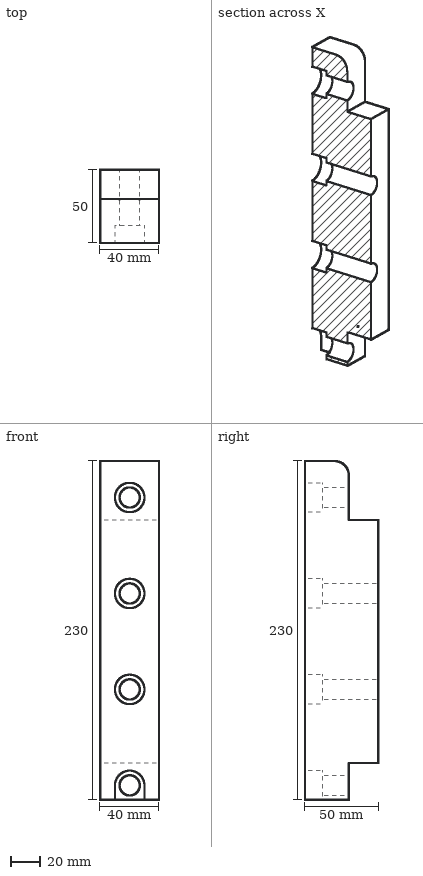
import cadquery as cq

width = 40.0
depth = 50.0
length = 230.0

end_thickness = 30.0
top_step_height = 40.0
bottom_step_height = 25.0
top_round_radius = 10.0

hole_count = 4
hole_pitch = 65.0
first_hole_height = 10.0
hole_diameter = 13.5
counterbore_diameter = 20.0
counterbore_depth = 12.0


def front_cylinder(diameter, height, cut_depth):
    """Cylinder running from the front face (Y = 0) toward +Y."""
    centre = cq.Vector(0, 0, height)
    return cq.Workplane(cq.Solid.makeCylinder(diameter / 2, cut_depth, centre, cq.Vector(0, 1, 0)))


def make_body():
    """Side profile in YZ, extruded symmetrically across the width."""
    return (
        cq.Workplane("YZ")
        .lineTo(end_thickness, 0)
        .lineTo(end_thickness, bottom_step_height)
        .lineTo(depth, bottom_step_height)
        .lineTo(depth, length - top_step_height)
        .lineTo(end_thickness, length - top_step_height)
        .lineTo(end_thickness, length - top_round_radius)
        .tangentArcPoint((end_thickness - top_round_radius, length), relative=False)
        .lineTo(0, length)
        .close()
        .extrude(width / 2, both=True)
    )


result = make_body()

for index in range(hole_count):
    hole_height = first_hole_height + index * hole_pitch
    result = result.cut(front_cylinder(hole_diameter, hole_height, depth))
    result = result.cut(front_cylinder(counterbore_diameter, hole_height, counterbore_depth))

bottom_slot = cq.Workplane("XY").box(
    counterbore_diameter, counterbore_depth, first_hole_height, centered=(True, False, False)
)
result = result.cut(bottom_slot)